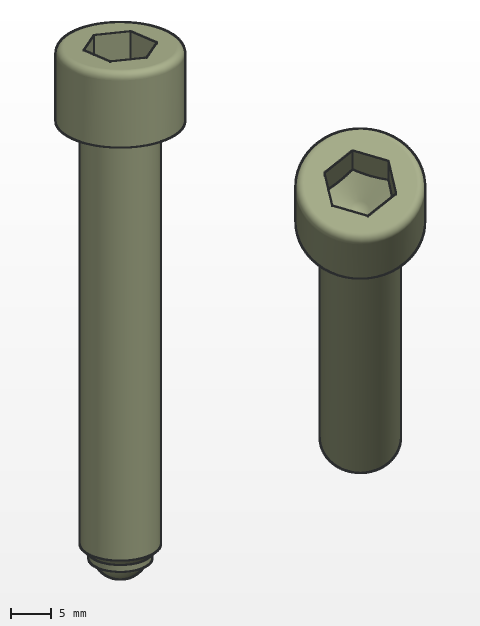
import cadquery as cq
import math

total_length = 71.7

head_diameter = 16.0
head_height = 10.05
head_round = 1.0

shank_diameter = 10.05
collar_diameter = 7.9
collar_height = 0.9
end_chamfer = (shank_diameter - collar_diameter) / 2

ball_diameter = 7.0
ball_protrusion = 2.5

socket_across_flats = 8.0
socket_wall_depth = 5.0
socket_cone_angle = 120.0

ball_radius = ball_diameter / 2
collar_bottom = ball_protrusion
collar_top = collar_bottom + collar_height
shank_bottom = collar_top + end_chamfer
head_bottom = total_length - head_height


def make_ball():
    return cq.Workplane("XY").sphere(ball_radius).translate((0, 0, ball_radius))


def make_socket_cutter():
    """Hexagonal prism whose lower end is trimmed to a cone through its corners."""
    across_corners = socket_across_flats / math.cos(math.pi / 6)
    corner_radius = across_corners / 2
    cone_depth = corner_radius / math.tan(math.radians(socket_cone_angle / 2))
    cone_base = total_length - socket_wall_depth
    cone_tip = cone_base - cone_depth
    prism = (
        cq.Workplane("XY", origin=(0, 0, cone_tip))
        .polygon(6, across_corners)
        .extrude(total_length - cone_tip)
    )
    pointed_cylinder = (
        cq.Workplane("XZ")
        .moveTo(0, cone_tip)
        .lineTo(corner_radius, cone_base)
        .lineTo(corner_radius, total_length)
        .lineTo(0, total_length)
        .close()
        .revolve(360, (0, 0, 0), (0, 1, 0))
    )
    return prism.intersect(pointed_cylinder)


def make_screw(ball):
    """Cap screw with a spherical seat for the ball in its lower end."""
    head_radius = head_diameter / 2
    shank_radius = shank_diameter / 2
    collar_radius = collar_diameter / 2
    body = (
        cq.Workplane("XZ")
        .moveTo(0, collar_bottom)
        .lineTo(collar_radius, collar_bottom)
        .lineTo(collar_radius, collar_top)
        .lineTo(shank_radius, shank_bottom)
        .lineTo(shank_radius, head_bottom)
        .lineTo(head_radius, head_bottom)
        .lineTo(head_radius, total_length)
        .lineTo(0, total_length)
        .close()
        .revolve(360, (0, 0, 0), (0, 1, 0))
    )
    rounded_body = body.faces(">Z").edges().fillet(head_round)
    return rounded_body.cut(make_socket_cutter()).cut(ball)


ball = make_ball()
screw = make_screw(ball)

result = cq.Compound.makeCompound([screw.val(), ball.val()])